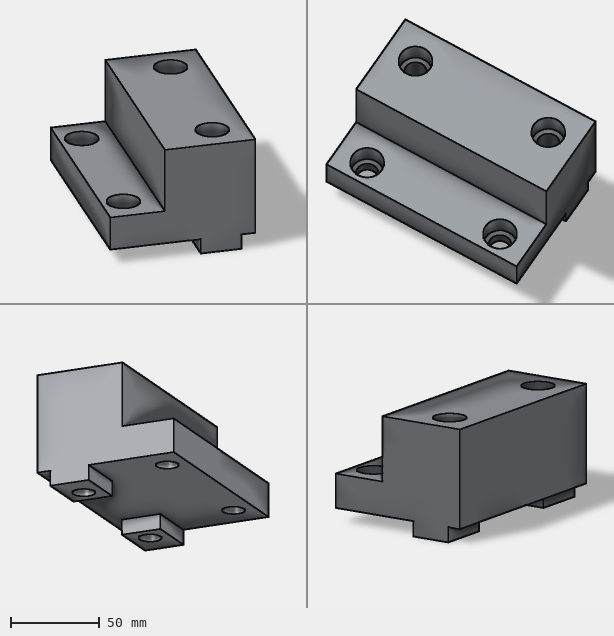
import cadquery as cq

length = 126.0
width = 85.0
height = 67.0

foot_height = 9.0
ledge_thickness = 20.0
ledge_width = 32.0
ledge_top = foot_height + ledge_thickness

foot_length = 31.0
foot_width = 24.0
foot_back_inset = 8.1
foot_front = width - foot_back_inset - foot_width

hole_diameter = 13.0
bore_diameter = 19.0
bore_depth = 13.0
hole_spacing = 88.0
front_hole_y = 13.0
back_hole_y = foot_front + foot_width / 2
left_hole_x = (length - hole_spacing) / 2


def make_body():
    """Extrude the stepped Y-Z profile along X."""
    return (
        cq.Workplane("YZ")
        .moveTo(0, foot_height)
        .lineTo(width, foot_height)
        .lineTo(width, height)
        .lineTo(ledge_width, height)
        .lineTo(ledge_width, ledge_top)
        .lineTo(0, ledge_top)
        .close()
        .extrude(length)
    )


def make_foot(left_x):
    """Rectangular foot whose left face is at left_x."""
    foot = cq.Workplane("XY").box(foot_length, foot_width, foot_height, centered=False)
    return foot.translate((left_x, foot_front, 0))


def make_hole_cutter(x, y, top):
    """Through hole with a counterbore sunk from the face at height top."""
    shank = cq.Workplane("XY").center(x, y).circle(hole_diameter / 2).extrude(top)
    bore_floor = cq.Workplane("XY", origin=(x, y, top - bore_depth))
    bore = bore_floor.circle(bore_diameter / 2).extrude(bore_depth)
    return shank.union(bore)


result = make_body()

for left_x in (0, length - foot_length):
    result = result.union(make_foot(left_x))

for x in (left_hole_x, left_hole_x + hole_spacing):
    for y, top in ((front_hole_y, ledge_top), (back_hole_y, height)):
        result = result.cut(make_hole_cutter(x, y, top))